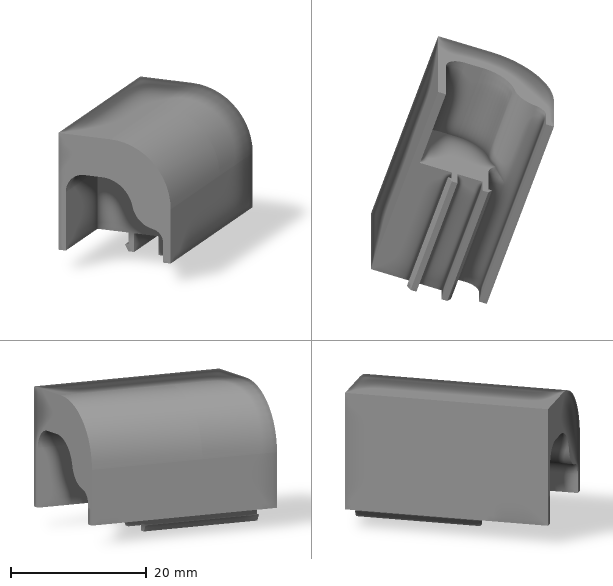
import cadquery as cq
import math

WIDTH = 18.0
HEIGHT = 18.0
LENGTH = 31.0
CORNER_RADIUS = 9.65
WALL = 1.2
SPLIT_Y = 18.5

CAVITY_DEPTH = 12.0
CAVITY_HEIGHT = 12.0
CAVITY_LEFT_RADIUS = 3.0
ROOF_RADIUS = 5.0
ROOF_CENTER_X = 7.0
HUMP_RADIUS = 4.0

CHANNEL_HEIGHT = 5.0
CHANNEL_RADIUS = 2.0
MOUTH_RADIUS = 2.0

RAIL_CENTER_X = 9.0
RAIL_SPAN = 5.7
RAIL_THICKNESS = 0.9
RAIL_NECK = 1.89
RAIL_ROOT = 2.0
BARB_HEIGHT = 1.0
BARB_REACH = BARB_HEIGHT * math.tan(math.radians(30))

CHANNEL_LEFT_X = RAIL_CENTER_X + RAIL_SPAN / 2
CHANNEL_RIGHT_X = WIDTH - WALL


def on_circle(center, radius, degrees):
    angle = math.radians(degrees)
    return (center[0] + radius * math.cos(angle), center[1] + radius * math.sin(angle))


def angle_to(start, end):
    return math.degrees(math.atan2(end[1] - start[1], end[0] - start[0]))


def extrude_along_y(profile, y_start, y_end):
    """Extrude an XZ profile from y_start to y_end."""
    return profile.extrude(y_start - y_end).translate((0, y_start, 0))


def outer_block():
    profile = (
        cq.Workplane("XZ")
        .lineTo(WIDTH, 0)
        .lineTo(WIDTH, HEIGHT - CORNER_RADIUS)
        .radiusArc((WIDTH - CORNER_RADIUS, HEIGHT), -CORNER_RADIUS)
        .lineTo(0, HEIGHT)
        .close()
    )
    return extrude_along_y(profile, 0, LENGTH)


def cavity(y_end):
    """Space under the roof arc, the hump and the right corner, which run into each other tangentially."""
    roof = (ROOF_CENTER_X, CAVITY_HEIGHT - ROOF_RADIUS)

    corner = (CHANNEL_RIGHT_X - CHANNEL_RADIUS, CHANNEL_HEIGHT - CHANNEL_RADIUS)

    roof_to_hump = ROOF_RADIUS + HUMP_RADIUS
    corner_to_hump = CHANNEL_RADIUS + HUMP_RADIUS
    roof_to_corner = math.dist(roof, corner)
    roof_cosine = (roof_to_hump**2 + roof_to_corner**2 - corner_to_hump**2) / (
        2 * roof_to_hump * roof_to_corner
    )
    hump = on_circle(roof, roof_to_hump, angle_to(roof, corner) + math.degrees(math.acos(roof_cosine)))

    roof_end = angle_to(roof, hump)
    hump_start = roof_end + 180
    corner_start = angle_to(corner, hump)
    hump_end = corner_start + 180

    profile = (
        cq.Workplane("XZ")
        .moveTo(WALL, 0)
        .lineTo(WALL, CAVITY_HEIGHT - CAVITY_LEFT_RADIUS)
        .radiusArc((WALL + CAVITY_LEFT_RADIUS, CAVITY_HEIGHT), CAVITY_LEFT_RADIUS)
        .lineTo(ROOF_CENTER_X, CAVITY_HEIGHT)
        .threePointArc(
            on_circle(roof, ROOF_RADIUS, (90 + roof_end) / 2),
            on_circle(roof, ROOF_RADIUS, roof_end),
        )
        .threePointArc(
            on_circle(hump, HUMP_RADIUS, (hump_start + hump_end) / 2),
            on_circle(hump, HUMP_RADIUS, hump_end),
        )
        .threePointArc(
            on_circle(corner, CHANNEL_RADIUS, corner_start / 2),
            on_circle(corner, CHANNEL_RADIUS, 0),
        )
        .lineTo(CHANNEL_RIGHT_X, 0)
        .close()
    )
    return extrude_along_y(profile, 0, y_end)


def channel():
    """Round-topped slot through the rear of the block."""
    width = CHANNEL_RIGHT_X - CHANNEL_LEFT_X
    return (
        cq.Workplane("XY")
        .box(width, LENGTH - CAVITY_DEPTH, CHANNEL_HEIGHT, centered=False)
        .edges("|Y and >Z")
        .fillet(CHANNEL_RADIUS)
        .translate((CHANNEL_LEFT_X, CAVITY_DEPTH, 0))
    )


def channel_mouth():
    """Flared start of the channel: a box less a horn that rounds the ceiling and the inner corner."""
    width = CHANNEL_RIGHT_X - CHANNEL_LEFT_X
    axis_z = CHANNEL_HEIGHT + MOUTH_RADIUS
    mouth_end_y = CAVITY_DEPTH + MOUTH_RADIUS
    corner_center = (CHANNEL_RADIUS, MOUTH_RADIUS + CHANNEL_RADIUS)
    horn = (
        cq.Workplane("XY")
        .lineTo(width, 0)
        .lineTo(width, MOUTH_RADIUS)
        .lineTo(CHANNEL_RADIUS, MOUTH_RADIUS)
        .threePointArc(
            on_circle(corner_center, CHANNEL_RADIUS, 225),
            (0, MOUTH_RADIUS + CHANNEL_RADIUS),
        )
        .close()
        .revolve(360, (0, 0, 0), (1, 0, 0))
        .translate((CHANNEL_LEFT_X, mouth_end_y, axis_z))
    )
    box = (
        cq.Workplane("XY")
        .box(width, MOUTH_RADIUS, axis_z, centered=False)
        .translate((CHANNEL_LEFT_X, CAVITY_DEPTH, 0))
    )
    return box.cut(horn).intersect(cavity(mouth_end_y))


def rail(side):
    """One snap rail with its barb pointing to -X (side = -1) or +X (side = 1)."""
    outer_x = RAIL_CENTER_X + side * RAIL_SPAN / 2
    inner_x = outer_x - side * RAIL_THICKNESS
    foot_z = -RAIL_NECK - BARB_HEIGHT
    profile = (
        cq.Workplane("XZ")
        .moveTo(inner_x, RAIL_ROOT)
        .lineTo(inner_x, foot_z)
        .lineTo(outer_x, foot_z)
        .lineTo(outer_x + side * BARB_REACH, -RAIL_NECK)
        .lineTo(outer_x, -RAIL_NECK)
        .lineTo(outer_x, RAIL_ROOT)
        .close()
    )
    return extrude_along_y(profile, CAVITY_DEPTH, LENGTH)


def full_cover():
    cover = outer_block().cut(cavity(CAVITY_DEPTH)).cut(channel()).cut(channel_mouth())
    for side in (-1, 1):
        cover = cover.union(rail(side))
    return cover


def section(cover, y_start, y_end):
    """Part of the cover between two planes across Y."""
    slab = cq.Workplane("XY").box(3 * WIDTH, y_end - y_start, 3 * HEIGHT, centered=(True, False, True))
    return cover.intersect(slab.translate((0, y_start, 0))).solids()


whole_cover = full_cover()
front_cover = section(whole_cover, 0, SPLIT_Y)
rear_cover = section(whole_cover, SPLIT_Y, LENGTH)

result = cq.Compound.makeCompound([front_cover.val(), rear_cover.val()])